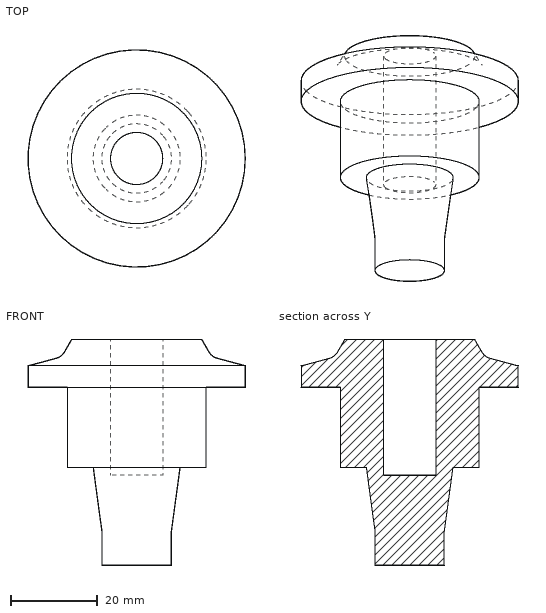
import cadquery as cq
import math

total_height = 52.0
spigot_top = 7.75
taper_top = 22.5
body_top = 41.0
rim_top = 45.95

spigot_diameter = 16.0
taper_top_diameter = 20.0
body_diameter = 32.0
flange_diameter = 50.0
top_face_diameter = 30.0
bore_diameter = 12.0

shallow_angle = math.radians(15)
steep_angle = math.radians(60)
blend_radius = 3.0

bore_depth = 31.2

flange_radius = flange_diameter / 2
top_face_radius = top_face_diameter / 2

shallow_slope = math.tan(shallow_angle)
steep_slope = math.tan(steep_angle)
corner_rise = total_height - rim_top
corner_r = (
    corner_rise + steep_slope * top_face_radius - shallow_slope * flange_radius
) / (steep_slope - shallow_slope)
corner_z = rim_top + shallow_slope * (flange_radius - corner_r)

turn_angle = steep_angle - shallow_angle
tangent_length = blend_radius * math.tan(turn_angle / 2)
blend_outer = (
    corner_r + tangent_length * math.cos(shallow_angle),
    corner_z - tangent_length * math.sin(shallow_angle),
)
blend_inner = (
    corner_r - tangent_length * math.cos(steep_angle),
    corner_z + tangent_length * math.sin(steep_angle),
)

bisector_angle = math.pi / 2 - (shallow_angle + steep_angle) / 2
corner_to_arc = blend_radius * (1 / math.cos(turn_angle / 2) - 1)
blend_middle = (
    corner_r + corner_to_arc * math.cos(bisector_angle),
    corner_z + corner_to_arc * math.sin(bisector_angle),
)

outer_body = (
    cq.Workplane("XZ")
    .moveTo(0, 0)
    .lineTo(spigot_diameter / 2, 0)
    .lineTo(spigot_diameter / 2, spigot_top)
    .lineTo(taper_top_diameter / 2, taper_top)
    .lineTo(body_diameter / 2, taper_top)
    .lineTo(body_diameter / 2, body_top)
    .lineTo(flange_radius, body_top)
    .lineTo(flange_radius, rim_top)
    .lineTo(*blend_outer)
    .threePointArc(blend_middle, blend_inner)
    .lineTo(top_face_radius, total_height)
    .lineTo(0, total_height)
    .close()
    .revolve(360, (0, 0, 0), (0, 1, 0))
)

bore = (
    cq.Workplane("XY")
    .workplane(offset=total_height - bore_depth)
    .circle(bore_diameter / 2)
    .extrude(bore_depth)
)

result = outer_body.cut(bore)